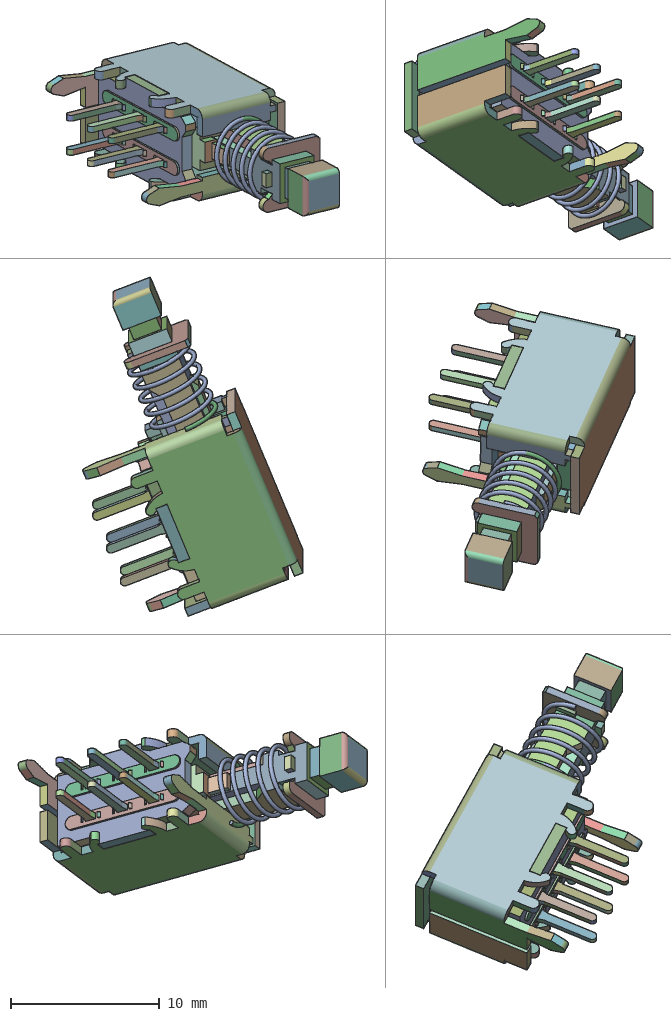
import cadquery as cq


CASE_LENGTH = 12.09
CASE_HALF_HEIGHT = 3.32
CASE_FRONT_Y = -6.6
SHEET = 0.62
BEND_RADIUS = 0.6
BACK_FLAP_RIGHT_X = 12.27
BACK_FLAP_HALF_HEIGHT = 2.65
RELIEF_LEFT_X = 1.02
RELIEF_RIGHT_X = 11.07
RELIEF_FRONT_Y = -1.05
END_SEAM_WIDTH = 0.45
PLUNGER_WINDOW_HALF = 1.45
RIGHT_WALL_X = CASE_LENGTH - SHEET
CASE_MID_X = CASE_LENGTH / 2
SKIRT_FRONT_Y = -8.33
SKIRT_OUTER_Z = 2.5
STRIP_WIDTH = 0.46

TAB_WIDTH = 0.8
TAB_OFFSET = 4.22
CURL_ROOT_OUTER = 2.9
CURL_ROOT_INNER = 2.08
CURL_TIP_OUTER = 2.12
CURL_TIP_INNER = 1.75
CURL_TIP_Y = -8.13
CURL_INNER_Y = -7.65
CURL_OUTER_BOW = 0.2
CURL_TIP_RADIUS = 0.33
CURL_INNER_BOW = 0.07

LEG_MID_Z = 2.1
LEG_ROOT_HALF = 0.4
LEG_BULGE_HALF = 0.65
LEG_SHOULDER_HALF = 0.35
LEG_BULGE_Y = -10.1
LEG_SHOULDER_Y = -10.87
LEG_TIP_Y = -11.14

BASE_LEFT_X = 0.82
BASE_RIGHT_X = 11.3
BASE_FRONT_Y = -7.43
BASE_HALF_HEIGHT = 2.65
BASE_CORNER_X = 10.72
BASE_CORNER_Z = 2.25
BASE_STEP_Z = 1.77
BASE_STEP_X = 10.87
BASE_NOTCH_HALF_Z = 1.24
BASE_EAR_HALF_LENGTH = 2.05
BASE_EAR_HALF_HEIGHT = 6.7 / 2
RAIL_LENGTH = 9.02
RAIL_WIDTH = 1.0
RAIL_HEIGHT = 0.15
ROW_Z = 1.24

PIN_PITCH = 2.5
PIN_WIDTH = 0.6
PIN_THICKNESS = 0.42
PIN_TIP_Y = -11.8
PIN_NECK_Y = -8.05
PIN_ROOT_WIDTH = 0.8
BARB_OFFSET = 0.69
BARB_WIDTH = 0.15
BARB_HEIGHT = 0.18

AXIS_Y = -3.62
STEM_HALF_Z = 1.44
STEM_HALF_Y = 1.4
CORE_LEFT_X = 0.82
CORE_RIGHT_X = BASE_STEP_X
CORE_LIP_RIGHT_X = 11.34
CORE_BACK_Y = -0.66
CORE_FRONT_Y = -6.0
CORE_HALF_HEIGHT = 1.5
WAIST_LEFT_X = 16.8
WAIST_HALF_Z = 1.04
COLLAR_LEFT_X = 17.3
WASHER_LEFT_X = 17.57
WASHER_RIGHT_X = 18.08
NECK_LEFT_X = 19.05
NECK_HALF_Z = 1.1
NECK_HALF_Y = 1.0
KNOB_LEFT_X = 20.05
KNOB_RIGHT_X = 22.1
KNOB_FILLET = 0.33
RIB_HALF_Z = 0.69
GROOVE_Y = -4.29
GROOVE_FLAT_END_X = 14.63
GROOVE_END_X = 15.55
BACK_RIB_Y = -1.83
BACK_RIB_END_X = 14.35
RIB_RAMP_LENGTH = 0.53
CATCH_RIGHT_X = 13.0
CATCH_FRONT_Y = -5.41
CATCH_HALF_Z = 0.57
CATCH_ROOT_HALF_Z = 0.75
PAD_HALF_Z = 0.49
PAD_LENGTH = 0.66
PAD_HEIGHT = 0.25

WASHER_HALF_Z = 2.32
WASHER_BACK_Y = -1.08
WASHER_FRONT_Y = -5.72
WASHER_CHAMFER = 0.22
WASHER_TIP_RADIUS = 0.46
WASHER_FLARE_LENGTH = 0.33
KEY_HALF_Z = 0.5
KEY_FRONT_Y = -5.48

WIRE_DIAMETER = 0.3
SPRING_RADIUS = 2.23
SPRING_PITCH = 1.0
SPRING_TURNS = 5
CLOSED_END_TURNS = 0.5
SPRING_START_X = 12.22
SPRING_END_X = 17.44


def box(x0, x1, y0, y1, z0, z1):
    """Axis-aligned block between two corners."""
    return cq.Workplane("XY").box(x1 - x0, y1 - y0, z1 - z0, centered=False).translate((x0, y0, z0))


def z_box(x0, x1, y0, y1, half_z):
    """Block that is symmetric about the mid-plane."""
    return box(x0, x1, y0, y1, -half_z, half_z)


def plate_z(outline, z0, z1):
    """Close an open XY outline and extrude it from z0 to z1."""
    return outline.close().extrude(z1 - z0).translate((0, 0, z0))


def flip_z(body):
    return body.mirror("XY")


def flip_x(body):
    """Mirror about the middle of the case length."""
    return body.mirror("YZ", (CASE_MID_X, 0, 0))


def case_shell():
    inner_half = CASE_HALF_HEIGHT - SHEET
    shell = z_box(0, CASE_LENGTH, CASE_FRONT_Y, 0, CASE_HALF_HEIGHT)
    shell = shell.edges("|Y").fillet(BEND_RADIUS)
    shell = shell.faces(">Y").edges("|X").fillet(BEND_RADIUS)
    shell = shell.cut(z_box(SHEET, RIGHT_WALL_X, CASE_FRONT_Y, -SHEET, inner_half))
    for x0, x1 in ((0, RELIEF_LEFT_X), (RELIEF_RIGHT_X, CASE_LENGTH)):
        shell = shell.cut(z_box(x0, x1, RELIEF_FRONT_Y, 0, CASE_HALF_HEIGHT))
    shell = shell.cut(z_box(0, SHEET, CASE_FRONT_Y, 0, END_SEAM_WIDTH / 2))
    shell = shell.cut(z_box(RIGHT_WALL_X, CASE_LENGTH, CASE_FRONT_Y, 0, PLUNGER_WINDOW_HALF))
    shell = shell.union(z_box(0, BACK_FLAP_RIGHT_X, -SHEET, 0, BACK_FLAP_HALF_HEIGHT))
    strip_inner_z = SKIRT_OUTER_Z - STRIP_WIDTH
    strip = box(RIGHT_WALL_X, CASE_LENGTH, RELIEF_FRONT_Y, -SHEET, strip_inner_z, SKIRT_OUTER_Z)
    return shell.union(strip).union(flip_z(strip))


def end_wall_skirts():
    """Forward extensions of the end walls that carry the legs."""
    seam = END_SEAM_WIDTH / 2
    left = box(0, SHEET, SKIRT_FRONT_Y, CASE_FRONT_Y, seam, SKIRT_OUTER_Z)
    leg_edge = LEG_MID_Z - LEG_ROOT_HALF
    right = box(RIGHT_WALL_X, CASE_LENGTH, SKIRT_FRONT_Y, CASE_FRONT_Y, -SKIRT_OUTER_Z, -leg_edge)
    return left.union(flip_z(left)).union(right)


def leg(x0, side):
    """Arrow-shaped leg; side is +1 above or -1 below the mid-plane."""
    blade = (
        cq.Workplane("YZ")
        .moveTo(SKIRT_FRONT_Y, LEG_ROOT_HALF)
        .lineTo(LEG_BULGE_Y, LEG_BULGE_HALF)
        .lineTo(LEG_SHOULDER_Y, LEG_SHOULDER_HALF)
        .threePointArc((LEG_TIP_Y, 0), (LEG_SHOULDER_Y, -LEG_SHOULDER_HALF))
        .lineTo(LEG_BULGE_Y, -LEG_BULGE_HALF)
        .lineTo(SKIRT_FRONT_Y, -LEG_ROOT_HALF)
        .close()
        .extrude(SHEET)
    )
    return blade.translate((x0, 0, side * LEG_MID_Z))


def front_tabs():
    inner_z = CASE_HALF_HEIGHT - SHEET
    tip_centre_y = SKIRT_FRONT_Y + TAB_WIDTH / 2
    tab_x = CASE_MID_X - TAB_OFFSET
    straight = (
        cq.Workplane("XY")
        .moveTo(tab_x - TAB_WIDTH / 2, CASE_FRONT_Y)
        .lineTo(tab_x - TAB_WIDTH / 2, tip_centre_y)
        .threePointArc((tab_x, SKIRT_FRONT_Y), (tab_x + TAB_WIDTH / 2, tip_centre_y))
        .lineTo(tab_x + TAB_WIDTH / 2, CASE_FRONT_Y)
    )
    curled = (
        cq.Workplane("XY")
        .moveTo(CASE_MID_X - CURL_ROOT_OUTER, CASE_FRONT_Y)
        .threePointArc(
            (CASE_MID_X - CURL_ROOT_OUTER + CURL_OUTER_BOW, (CASE_FRONT_Y + CURL_TIP_Y) / 2),
            (CASE_MID_X - CURL_TIP_OUTER, CURL_TIP_Y),
        )
        .radiusArc((CASE_MID_X - CURL_TIP_INNER, CURL_INNER_Y), -CURL_TIP_RADIUS)
        .threePointArc(
            (CASE_MID_X - CURL_ROOT_INNER + CURL_INNER_BOW, (CASE_FRONT_Y + CURL_INNER_Y) / 2),
            (CASE_MID_X - CURL_ROOT_INNER, CASE_FRONT_Y),
        )
    )
    tabs = plate_z(straight, inner_z, CASE_HALF_HEIGHT).union(plate_z(curled, inner_z, CASE_HALF_HEIGHT))
    tabs = tabs.union(flip_x(tabs))
    return tabs.union(flip_z(tabs))


def base():
    half_outline = [
        (BASE_LEFT_X, BASE_HALF_HEIGHT),
        (BASE_CORNER_X, BASE_HALF_HEIGHT),
        (BASE_RIGHT_X, BASE_CORNER_Z),
        (BASE_RIGHT_X, BASE_STEP_Z),
        (BASE_STEP_X, BASE_NOTCH_HALF_Z),
    ]
    outline = half_outline + [(x, -z) for x, z in reversed(half_outline)]
    depth = CASE_FRONT_Y - BASE_FRONT_Y
    body = cq.Workplane("XZ", origin=(0, CASE_FRONT_Y, 0)).polyline(outline).close().extrude(depth)
    ears = z_box(
        CASE_MID_X - BASE_EAR_HALF_LENGTH,
        CASE_MID_X + BASE_EAR_HALF_LENGTH,
        BASE_FRONT_Y,
        CASE_FRONT_Y,
        BASE_EAR_HALF_HEIGHT,
    )
    rails = (
        cq.Workplane("XZ", origin=(CASE_MID_X, BASE_FRONT_Y, 0))
        .pushPoints([(0, ROW_Z), (0, -ROW_Z)])
        .slot2D(RAIL_LENGTH, RAIL_WIDTH)
        .extrude(RAIL_HEIGHT)
    )
    return body.union(ears).union(rails)


def pin(x, z):
    """Round-ended pin with a tapered root between two small barbs."""
    root_y = BASE_FRONT_Y - RAIL_HEIGHT
    half = PIN_WIDTH / 2
    z0 = z - PIN_THICKNESS / 2
    z1 = z + PIN_THICKNESS / 2
    blade = (
        cq.Workplane("XY")
        .moveTo(x - PIN_ROOT_WIDTH / 2, root_y)
        .lineTo(x - half, PIN_NECK_Y)
        .lineTo(x - half, PIN_TIP_Y + half)
        .threePointArc((x, PIN_TIP_Y), (x + half, PIN_TIP_Y + half))
        .lineTo(x + half, PIN_NECK_Y)
        .lineTo(x + PIN_ROOT_WIDTH / 2, root_y)
    )
    body = plate_z(blade, z0, z1)
    for side in (-1, 1):
        outer_x = x + side * (BARB_OFFSET + BARB_WIDTH / 2)
        inner_x = outer_x - side * BARB_WIDTH
        corners = [(outer_x, root_y), (inner_x, root_y), (inner_x, root_y - BARB_HEIGHT)]
        barb = cq.Workplane("XY").polyline(corners)
        body = body.union(plate_z(barb, z0, z1))
    return body


def stem_box(x0, x1, half_y, half_z):
    """Block centred on the plunger axis."""
    return z_box(x0, x1, AXIS_Y - half_y, AXIS_Y + half_y, half_z)


def plunger():
    stem_front_y = AXIS_Y - STEM_HALF_Y
    stem_back_y = AXIS_Y + STEM_HALF_Y
    body = z_box(CORE_LEFT_X, CORE_RIGHT_X, CORE_FRONT_Y, CORE_BACK_Y, CORE_HALF_HEIGHT)
    lip = z_box(CORE_RIGHT_X, CORE_LIP_RIGHT_X, stem_back_y, CORE_BACK_Y, CORE_HALF_HEIGHT)
    pad = z_box(CORE_LEFT_X, CORE_LEFT_X + PAD_LENGTH, -SHEET - PAD_HEIGHT, -SHEET, PAD_HALF_Z)
    stem = stem_box(CORE_RIGHT_X, WAIST_LEFT_X, STEM_HALF_Y, STEM_HALF_Z)

    groove_outline = [
        (CORE_RIGHT_X, stem_front_y),
        (CORE_RIGHT_X, GROOVE_Y),
        (GROOVE_FLAT_END_X, GROOVE_Y),
        (GROOVE_END_X, stem_front_y),
    ]
    groove = plate_z(cq.Workplane("XY").polyline(groove_outline), RIB_HALF_Z, STEM_HALF_Z)
    stem = stem.cut(groove).cut(flip_z(groove))

    back_rib_outline = [
        (CORE_RIGHT_X, stem_back_y),
        (CORE_RIGHT_X, BACK_RIB_Y),
        (BACK_RIB_END_X, BACK_RIB_Y),
        (BACK_RIB_END_X + RIB_RAMP_LENGTH, stem_back_y),
    ]
    back_rib = plate_z(cq.Workplane("XY").polyline(back_rib_outline), -RIB_HALF_Z, RIB_HALF_Z)
    catch = z_box(CORE_RIGHT_X, CATCH_RIGHT_X, CATCH_FRONT_Y, stem_front_y, CATCH_HALF_Z)
    catch_root = z_box(CORE_RIGHT_X, RIGHT_WALL_X, CORE_FRONT_Y, stem_front_y, CATCH_ROOT_HALF_Z)

    waist = stem_box(WAIST_LEFT_X, WASHER_RIGHT_X, STEM_HALF_Y, WAIST_HALF_Z)
    collar = z_box(COLLAR_LEFT_X, WASHER_LEFT_X, AXIS_Y, stem_back_y, STEM_HALF_Z)
    shank = stem_box(WASHER_RIGHT_X, NECK_LEFT_X, STEM_HALF_Y, STEM_HALF_Z)
    neck = stem_box(NECK_LEFT_X, KNOB_LEFT_X, NECK_HALF_Y, NECK_HALF_Z)
    knob = stem_box(KNOB_LEFT_X, KNOB_RIGHT_X, STEM_HALF_Y, STEM_HALF_Z)
    knob = knob.faces(">X").edges(">Z or <Z or <Y").fillet(KNOB_FILLET)
    for piece in (lip, pad, stem, back_rib, catch, catch_root, waist, collar, shank, neck, knob):
        body = body.union(piece)
    return body


def washer():
    """C-shaped washer that straddles the plunger waist from behind."""
    plate = z_box(WASHER_LEFT_X, WASHER_RIGHT_X, WASHER_FRONT_Y, WASHER_BACK_Y, WASHER_HALF_Z)
    plate = plate.faces(">Y").edges("|X").chamfer(WASHER_CHAMFER)
    tip_inner_z = WASHER_HALF_Z - 2 * WASHER_TIP_RADIUS
    tip_centre_y = WASHER_FRONT_Y + WASHER_TIP_RADIUS
    half_slot = [
        (AXIS_Y + STEM_HALF_Y, WAIST_HALF_Z),
        (tip_centre_y + WASHER_FLARE_LENGTH, WAIST_HALF_Z),
        (tip_centre_y, tip_inner_z),
        (WASHER_FRONT_Y, tip_inner_z),
    ]
    slot_outline = half_slot + [(y, -z) for y, z in reversed(half_slot)]
    slot = cq.Workplane("YZ", origin=(WASHER_LEFT_X, 0, 0)).polyline(slot_outline).close()
    plate = plate.cut(slot.extrude(WASHER_RIGHT_X - WASHER_LEFT_X))
    for side in (-1, 1):
        tip_z = side * (WASHER_HALF_Z - WASHER_TIP_RADIUS)
        square_tip = box(
            WASHER_LEFT_X,
            WASHER_RIGHT_X,
            WASHER_FRONT_Y,
            tip_centre_y,
            tip_z - WASHER_TIP_RADIUS,
            tip_z + WASHER_TIP_RADIUS,
        )
        round_tip = (
            cq.Workplane("YZ", origin=(WASHER_LEFT_X, tip_centre_y, tip_z))
            .circle(WASHER_TIP_RADIUS)
            .extrude(WASHER_RIGHT_X - WASHER_LEFT_X)
        )
        plate = plate.cut(square_tip).union(round_tip)
    key = z_box(WASHER_LEFT_X, WASHER_RIGHT_X, KEY_FRONT_Y, AXIS_Y - STEM_HALF_Y, KEY_HALF_Z)
    return plate.union(key)


def coil(start_x, end_x, turns, start_angle):
    """Helical wire about the plunger axis; angle 0 starts at the underside."""
    length = end_x - start_x
    path = cq.Wire.makeHelix(length / turns, length, SPRING_RADIUS)
    wire = cq.Workplane("XZ").center(SPRING_RADIUS, 0).circle(WIRE_DIAMETER / 2).sweep(path, isFrenet=True)
    along_x = wire.rotate((0, 0, 0), (0, 1, 0), 90).rotate((0, 0, 0), (1, 0, 0), start_angle)
    return along_x.translate((start_x, AXIS_Y, 0))


def spring():
    """A flattened half turn at the case, then the working coils."""
    join_x = SPRING_END_X - SPRING_TURNS * SPRING_PITCH
    closed_end = coil(SPRING_START_X, join_x, CLOSED_END_TURNS, 0)
    return closed_end.union(coil(join_x, SPRING_END_X, SPRING_TURNS, 180))


result = case_shell().union(end_wall_skirts()).union(front_tabs())
result = result.union(leg(0, 1)).union(leg(RIGHT_WALL_X, -1))
result = result.union(base())
for row_z in (ROW_Z, -ROW_Z):
    for column in (-1, 0, 1):
        result = result.union(pin(CASE_MID_X + column * PIN_PITCH, row_z))
result = result.union(plunger()).union(washer()).union(spring())